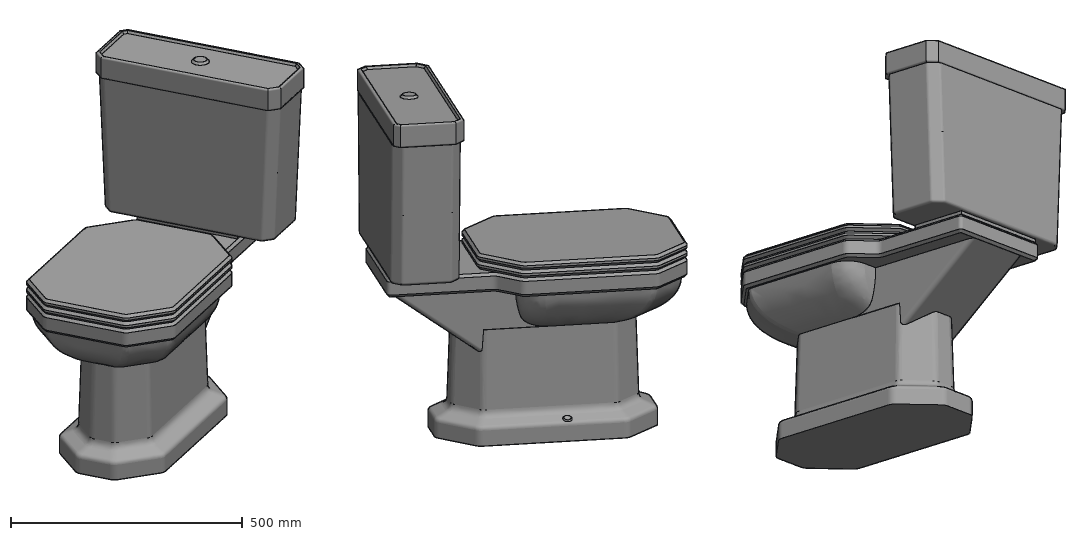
import cadquery as cq
import math


TOTAL_HEIGHT = 765.0
TOTAL_DEPTH = 668.0
PLINTH_RADIUS = 23.0
CORNER_RADIUS = 19.0
EDGE_CHAMFER = 6.0

PLINTH_HALF_WIDTH = 125.5
PLINTH_FRONT = -613.5
PLINTH_REAR = -123.0
PLINTH_CORNER = 81.0
PLINTH_HEIGHT = 41.0
PLINTH_ROUNDING = 10.0
SHOULDER_INSET = 38.0
SHOULDER_TOP = 57.0
SHOULDER_FILLET = 18.0
COLUMN_TOP = 249.0
COLUMN_TAPER = 6.0
HEIGHT_TOLERANCE = 0.4

RIM_TOP = 389.5
RIM_HEIGHT = 42.0
RIM_BOTTOM = RIM_TOP - RIM_HEIGHT
RIM_HALF_WIDTH = 177.0
RIM_FRONT = -TOTAL_DEPTH
RIM_REAR = -207.0
RIM_FRONT_CORNER = 79.5
RIM_REAR_CORNER = 84.0
DECK_HALF_WIDTH = 125.5
DECK_REAR = -3.0
DECK_CORNER_RADIUS = 8.0

BOWL_INSET = 11.5
BOWL_REAR_TOP = -292.0
BOWL_REAR_BOTTOM = -317.5
BOWL_REAR_RADIUS = 50.5
BOWL_ARC_END = math.radians(60)
BOWL_SECTIONS = 7

BRACKET_HALF_WIDTH = 79.5
BRACKET_REAR = -10.0
BRACKET_SLOPE = 36.4
BRACKET_LOW_END = -229.5
BRACKET_FRONT = -382.5
BRACKET_ROUNDING = 10.0

SEAT_HEIGHT = 17.5

CISTERN_BOTTOM = 397.0
CISTERN_TOP = 714.5
CISTERN_FRONT = -150.0
CISTERN_TOP_HALF_WIDTH = 216.0
CISTERN_BOTTOM_HALF_WIDTH = 201.0
CISTERN_CORNER = 21.0
CISTERN_ROUNDING = 8.0
CISTERN_BOTTOM_ROUNDING = 6.0
CISTERN_FOOT_INSET = 8.0

LID_HALF_WIDTH = 440.0 / 2
LID_FRONT = -157.0
LID_FRONT_CORNER = 21.5
LID_REAR_CORNER_LEFT = 13.0
LID_REAR_CORNER_RIGHT = 19.0
LID_ROUNDING = 4.0
DISH_TOP_INSET = 8.0
DISH_BOTTOM_INSET = 11.5
DISH_DEPTH = 5.0

BUTTON_DIAMETER = 39.0
BUTTON_TOP_DIAMETER = 29.0
BUTTON_Y = -75.0

CAP_DIAMETER = 21.0
CAP_TOP_DIAMETER = 15.0
CAP_HEIGHT = 3.0
CAP_Y = -401.0
CAP_INSET = 14.0


def octagon(half_width, front, rear, front_corner, rear_left, rear_right):
    """Corner points of a rectangle with 45 degree cut corners."""
    return [
        (-half_width + front_corner, front),
        (half_width - front_corner, front),
        (half_width, front + front_corner),
        (half_width, rear - rear_right),
        (half_width - rear_right, rear),
        (-half_width + rear_left, rear),
        (-half_width, rear - rear_left),
        (-half_width, front + front_corner),
    ]


def closed_sketch(points):
    return cq.Sketch().polygon(points + points[:1])


def loft_between(lower, lower_z, upper, upper_z):
    lower_face = lower.moved(cq.Location(cq.Vector(0, 0, lower_z)))
    upper_face = upper.moved(cq.Location(cq.Vector(0, 0, upper_z)))
    return cq.Workplane().placeSketch(lower_face, upper_face).loft(ruled=True)


def foot_outline(inset, corner_radius):
    """Plinth octagon moved inwards by the inset, with rounded corners."""
    corner = PLINTH_CORNER - inset * (2 - math.sqrt(2))
    points = octagon(
        PLINTH_HALF_WIDTH - inset, PLINTH_FRONT + inset, PLINTH_REAR - inset, corner, corner, corner
    )
    return closed_sketch(points).vertices().fillet(corner_radius)


def edges_at(solid, height):
    """Horizontal edges of a solid that lie at one height."""
    reach = 2 * TOTAL_DEPTH
    slab = cq.selectors.BoxSelector(
        (-reach, -reach, height - HEIGHT_TOLERANCE), (reach, reach, height + HEIGHT_TOLERANCE)
    )
    return solid.edges(slab)


def make_foot():
    base = foot_outline(0, PLINTH_RADIUS)
    waist = foot_outline(SHOULDER_INSET, CORNER_RADIUS)
    neck = foot_outline(SHOULDER_INSET + COLUMN_TAPER, CORNER_RADIUS)
    plinth = cq.Workplane().placeSketch(base).extrude(PLINTH_HEIGHT)
    shoulder = loft_between(base, PLINTH_HEIGHT, waist, SHOULDER_TOP)
    column = loft_between(waist, SHOULDER_TOP, neck, COLUMN_TOP)
    foot = plinth.union(shoulder).union(column)
    foot = edges_at(foot, SHOULDER_TOP).fillet(SHOULDER_FILLET)
    return edges_at(foot, PLINTH_HEIGHT).fillet(PLINTH_ROUNDING)


def seat_outline():
    points = octagon(
        RIM_HALF_WIDTH, RIM_FRONT, RIM_REAR, RIM_FRONT_CORNER, RIM_REAR_CORNER, RIM_REAR_CORNER
    )
    return cq.Workplane().polyline(points).close()


def make_rim():
    deck_length = DECK_REAR - RIM_REAR + RIM_REAR_CORNER
    deck = (
        cq.Workplane()
        .center(0, DECK_REAR - deck_length / 2)
        .rect(2 * DECK_HALF_WIDTH, deck_length)
        .extrude(RIM_HEIGHT)
    )
    rim = seat_outline().extrude(RIM_HEIGHT).union(deck)
    rim = rim.edges("|Z and (not >Y)").fillet(CORNER_RADIUS)
    rim = rim.edges("|Z and >Y").fillet(DECK_CORNER_RADIUS)
    rim = rim.faces("<Z or >Z").edges().chamfer(EDGE_CHAMFER)
    return rim.translate((0, 0, RIM_BOTTOM))


def bowl_section(level):
    """Bowl outline at its height; level runs from 0 at the rim to 1 at the column."""
    angle = level * BOWL_ARC_END
    depth = math.sin(angle) / math.sin(BOWL_ARC_END)
    shrink = (1 - math.cos(angle)) / (1 - math.cos(BOWL_ARC_END))

    def blend(top, bottom):
        return top + (bottom - top) * shrink

    column_inset = SHOULDER_INSET + COLUMN_TAPER
    half_width = blend(RIM_HALF_WIDTH - BOWL_INSET, PLINTH_HALF_WIDTH - column_inset)
    front = blend(RIM_FRONT + BOWL_INSET, PLINTH_FRONT + column_inset)
    rear = blend(BOWL_REAR_TOP, BOWL_REAR_BOTTOM)
    flat = blend(
        RIM_HALF_WIDTH - RIM_FRONT_CORNER - BOWL_INSET * math.tan(math.pi / 8),
        PLINTH_HALF_WIDTH - PLINTH_CORNER - column_inset * math.tan(math.pi / 8),
    )
    corner = half_width - flat
    points = [
        (-flat, front),
        (flat, front),
        (half_width, front + corner),
        (half_width, rear),
        (-half_width, rear),
        (-half_width, front + corner),
    ]
    outline = closed_sketch(points).vertices("not >Y").fillet(CORNER_RADIUS)
    outline = outline.reset().vertices(">Y").fillet(BOWL_REAR_RADIUS)
    height = RIM_BOTTOM - (RIM_BOTTOM - COLUMN_TOP) * depth
    return outline.moved(cq.Location(cq.Vector(0, 0, height)))


def make_bowl():
    sections = [bowl_section(i / (BOWL_SECTIONS - 1)) for i in range(BOWL_SECTIONS)]
    return cq.Workplane().placeSketch(*sections).loft()


def make_bracket():
    low_z = RIM_BOTTOM - (BRACKET_REAR - BRACKET_LOW_END) * math.tan(math.radians(BRACKET_SLOPE))
    profile = [
        (BRACKET_REAR, RIM_BOTTOM),
        (BRACKET_LOW_END, low_z),
        (BRACKET_FRONT, low_z),
        (BRACKET_FRONT, RIM_BOTTOM),
    ]
    bracket = cq.Workplane("YZ").polyline(profile).close().extrude(BRACKET_HALF_WIDTH, both=True)
    sloped_face = cq.selectors.DirectionMinMaxSelector(cq.Vector(0, 1, -1), True)
    return bracket.faces(sloped_face).edges("not |X").fillet(BRACKET_ROUNDING)


def make_pan():
    return make_foot().union(make_bracket()).union(make_bowl()).union(make_rim())


def seat_slab(bottom):
    slab = seat_outline().extrude(SEAT_HEIGHT).edges("|Z").fillet(CORNER_RADIUS)
    return slab.faces("<Z or >Z").edges().chamfer(EDGE_CHAMFER).translate((0, 0, bottom))


def make_cistern():
    def outline(half_width):
        return closed_sketch(octagon(half_width, CISTERN_FRONT, 0, *[CISTERN_CORNER] * 3))

    tank = loft_between(
        outline(CISTERN_BOTTOM_HALF_WIDTH), CISTERN_BOTTOM, outline(CISTERN_TOP_HALF_WIDTH), CISTERN_TOP
    )
    tank = tank.edges("not #Z").fillet(CISTERN_ROUNDING)
    tank = tank.faces("<Z").edges().fillet(CISTERN_BOTTOM_ROUNDING)
    foot_depth = -CISTERN_FRONT - 2 * CISTERN_FOOT_INSET
    foot = (
        cq.Workplane(origin=(0, CISTERN_FRONT / 2, RIM_TOP))
        .rect(2 * (DECK_HALF_WIDTH - EDGE_CHAMFER), foot_depth)
        .extrude(CISTERN_BOTTOM - RIM_TOP)
    )
    return tank.union(foot)


def lid_outline(inset):
    """Cistern lid octagon moved inwards by the inset."""
    trim = inset * (2 - math.sqrt(2))
    return closed_sketch(
        octagon(
            LID_HALF_WIDTH - inset,
            LID_FRONT + inset,
            -inset,
            LID_FRONT_CORNER - trim,
            LID_REAR_CORNER_LEFT - trim,
            LID_REAR_CORNER_RIGHT - trim,
        )
    )


def make_cistern_lid():
    lid = (
        cq.Workplane(origin=(0, 0, CISTERN_TOP))
        .placeSketch(lid_outline(0))
        .extrude(TOTAL_HEIGHT - CISTERN_TOP)
    )
    lid = lid.faces("<Z or >Z").edges().fillet(LID_ROUNDING)
    dish = loft_between(
        lid_outline(DISH_BOTTOM_INSET), TOTAL_HEIGHT - DISH_DEPTH, lid_outline(DISH_TOP_INSET), TOTAL_HEIGHT
    )
    return lid.cut(dish)


def frustum(diameter, top_diameter, height):
    return cq.Workplane(cq.Solid.makeCone(diameter / 2, top_diameter / 2, height))


def make_button():
    button = frustum(BUTTON_DIAMETER, BUTTON_TOP_DIAMETER, DISH_DEPTH)
    return button.translate((0, BUTTON_Y, TOTAL_HEIGHT - DISH_DEPTH))


def make_bolt_cap():
    """Cap standing square to the sloping shoulder on the -X side."""
    slope = math.degrees(math.atan2(SHOULDER_TOP - PLINTH_HEIGHT, SHOULDER_INSET))
    z = PLINTH_HEIGHT + CAP_INSET * math.tan(math.radians(slope))
    cap = frustum(CAP_DIAMETER, CAP_TOP_DIAMETER, CAP_HEIGHT).rotate((0, 0, 0), (0, 1, 0), -slope)
    return cap.translate((-PLINTH_HALF_WIDTH + CAP_INSET, CAP_Y, z))


pan = make_pan()
seat = seat_slab(RIM_TOP)
seat_cover = seat_slab(RIM_TOP + SEAT_HEIGHT)
cistern = make_cistern()
cistern_lid = make_cistern_lid()
button = make_button()
bolt_cap = make_bolt_cap()

bodies = [pan, seat, seat_cover, cistern, cistern_lid, button, bolt_cap]
result = cq.Compound.makeCompound([body.val() for body in bodies])